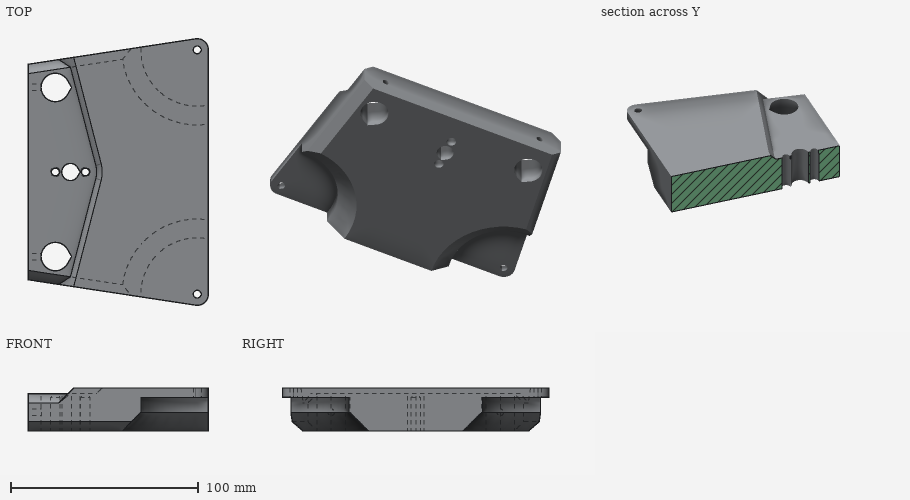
import math

import cadquery as cq

length = 96.0
height = 23.0
front_half_width = 57.4
flange_thickness = 5.0
edge_chamfer = 5.0
margin = 20.0

corner_radius = 6.0
corner_x = length - corner_radius
corner_y = 65.0
corner_hole_diameter = 4.0
relief_radius = 30.0
relief_cone_height = 10.0

step_height = 20.0
step_wall_angle = math.radians(14.5)
step_wall_radius = 14.0
step_wall_bottom = step_height - edge_chamfer

center_x = 22.5
center_hole_diameter = 9.0
side_hole_diameter = 4.0
side_bore_diameter = 5.0
side_ring_thickness = 2.0
side_hole_spacing = 8.0
rod_x = 14.5
rod_y = 45.0
rod_diameter = 15.0
set_screw_diameter = 3.5
set_screw_z = 10.0
tip_ratio = 1.15

side_angle = math.atan2(corner_y - front_half_width, corner_x) + math.asin(
    corner_radius / math.hypot(corner_x, corner_y - front_half_width)
)


def make_outline():
    """Trapezoid widening toward the rear."""
    rear_half_width = front_half_width + length * math.tan(side_angle)
    return [
        (0, -front_half_width),
        (length, -rear_half_width),
        (length, rear_half_width),
        (0, front_half_width),
    ]


def make_block(block_height):
    """Sharp-cornered block on the trapezoid."""
    return cq.Workplane("XY").polyline(make_outline()).close().extrude(block_height)


def chamfer_side_edges(block, level):
    """Chamfer the edges along the two inclined sides at the given level."""
    lower_corner = (length / 4, -length, level - edge_chamfer / 2)
    upper_corner = (length * 3 / 4, length, level + edge_chamfer / 2)
    side_edges = cq.selectors.BoxSelector(lower_corner, upper_corner)
    return block.edges(side_edges).chamfer(edge_chamfer)


def make_step_space():
    """Space in front of the V-shaped wall, which leans back at 45 degrees."""
    radius = step_wall_radius - edge_chamfer
    tangent_x = center_x + radius * math.cos(step_wall_angle)
    tangent_y = radius * math.sin(step_wall_angle)
    end_y = front_half_width + margin
    end_x = tangent_x - (end_y - tangent_y) * math.tan(step_wall_angle)
    wall_height = height - step_wall_bottom
    return (
        cq.Workplane("XY", origin=(0, 0, step_wall_bottom))
        .moveTo(-margin, -end_y)
        .lineTo(end_x, -end_y)
        .lineTo(tangent_x, -tangent_y)
        .threePointArc((center_x + radius, 0), (tangent_x, tangent_y))
        .lineTo(end_x, end_y)
        .lineTo(-margin, end_y)
        .close()
        .extrude(wall_height, taper=-45)
    )


def make_corner_relief(side):
    """Cylinder under the flange that flares into a cone toward the bottom."""
    center = (corner_x, side * corner_y)
    flange_bottom = height - flange_thickness
    cylinder = cq.Workplane("XY").center(*center).circle(relief_radius).extrude(flange_bottom)
    cone = cq.Solid.makeCone(
        relief_radius + relief_cone_height,
        relief_radius,
        relief_cone_height,
        pnt=cq.Vector(*center, 0),
    )
    return cylinder.union(cq.Workplane(cone))


def make_teardrop(x, y, diameter):
    """Through hole with a pointed tip toward +X."""
    radius = diameter / 2
    tangent_x = radius / tip_ratio
    tangent_y = math.sqrt(radius**2 - tangent_x**2)
    return (
        cq.Workplane("XY", origin=(x, y, 0))
        .moveTo(tip_ratio * radius, 0)
        .lineTo(tangent_x, tangent_y)
        .threePointArc((-radius, 0), (tangent_x, -tangent_y))
        .close()
        .extrude(height)
    )


def make_side_hole(side):
    """Through hole beside the center hole, widened below its thin top ring."""
    hole_x = center_x + side * side_hole_spacing
    bore_depth = step_height - side_ring_thickness
    bore = cq.Workplane("XY").center(hole_x, 0).circle(side_bore_diameter / 2).extrude(bore_depth)
    return make_teardrop(hole_x, 0, side_hole_diameter).union(bore)


def make_set_screw_hole(side):
    """Hole from the front face into the rod hole."""
    sketch = cq.Workplane("YZ").center(side * rod_y, set_screw_z)
    return sketch.circle(set_screw_diameter / 2).extrude(rod_x)


def make_body():
    """Solid plate with chamfered lower side edges and the lowered front step."""
    body = make_block(height).edges("|Z and >X").fillet(corner_radius)
    low_block = chamfer_side_edges(make_block(step_height), step_height)
    beveled_block = chamfer_side_edges(make_block(height), 0)
    return body.cut(make_step_space().cut(low_block)).intersect(beveled_block)


result = make_body().cut(make_teardrop(center_x, 0, center_hole_diameter))
for side in (-1, 1):
    result = result.cut(make_corner_relief(side))
    result = result.cut(make_teardrop(corner_x, side * corner_y, corner_hole_diameter))
    result = result.cut(make_teardrop(rod_x, side * rod_y, rod_diameter))
    result = result.cut(make_side_hole(side))
    result = result.cut(make_set_screw_hole(side))